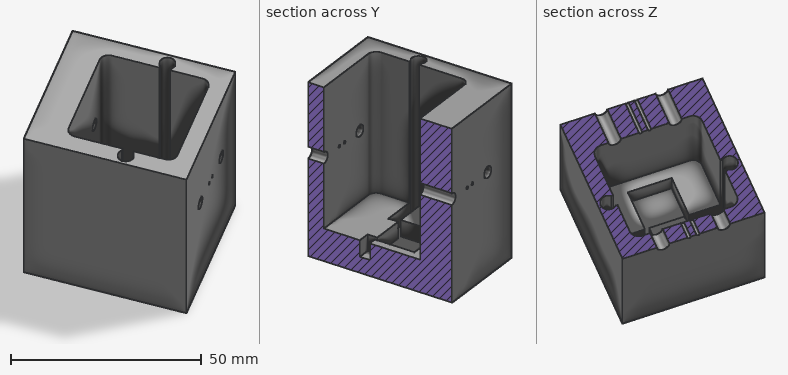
import cadquery as cq

LENGTH = 45.0
WIDTH = 40.0
HEIGHT = 52.5

POCKET_SIDE = 30.05
POCKET_CORNER_RADIUS = 2.5
FLOOR_THICKNESS = 10.0
POCKET_DEPTH = HEIGHT - FLOOR_THICKNESS
END_WALL = (WIDTH - POCKET_SIDE) / 2
POCKET_X = LENGTH / 2 - END_WALL - POCKET_SIDE / 2

SLOT_WIDTH = 3.05
SLOT_X = 4.7
SLOT_END_DIAMETER = 4.2
SLOT_END_Y = 17.05
SLOT_GAP = 10.0
RECESS_DEPTH = FLOOR_THICKNESS / 2
SLOT_FLOOR_Z = FLOOR_THICKNESS - RECESS_DEPTH

RECESS_WIDTH = 12.35
RECESS_LENGTH = 12.4
RECESS_END_X = SLOT_X - SLOT_WIDTH / 2

HOLE_Z = HEIGHT - POCKET_DEPTH / 2
LARGE_HOLE_DIAMETER = 3.4
LARGE_HOLE_SPACING = 17.05
SMALL_HOLE_DIAMETER = 0.8
SMALL_HOLE_SPACING = 2.5


def box_to_top(length, width, x, y, floor_z):
    """Box centred on (x, y), reaching from floor_z to the top of the block."""
    return (
        cq.Workplane("XY", origin=(x, y, floor_z))
        .rect(length, width)
        .extrude(HEIGHT - floor_z)
    )


def guide_slot(side):
    """Straight slot with a round outer end, on the side (+1 or -1) of the XZ plane."""
    inner_y = SLOT_GAP / 2
    straight = box_to_top(
        SLOT_WIDTH, SLOT_END_Y - inner_y, SLOT_X, side * (SLOT_END_Y + inner_y) / 2, SLOT_FLOOR_Z
    )
    round_end = (
        cq.Workplane("XY", origin=(SLOT_X, side * SLOT_END_Y, SLOT_FLOOR_Z))
        .circle(SLOT_END_DIAMETER / 2)
        .extrude(HEIGHT - SLOT_FLOOR_Z)
    )
    return straight.union(round_end)


def hole_pair(diameter, spacing):
    """Two cylinders along X, spread evenly about the XZ plane."""
    return (
        cq.Workplane("YZ", origin=(-LENGTH / 2, 0, HOLE_Z))
        .pushPoints([(-spacing / 2, 0), (spacing / 2, 0)])
        .circle(diameter / 2)
        .extrude(LENGTH)
    )


block = cq.Workplane("XY").box(LENGTH, WIDTH, HEIGHT, centered=(True, True, False))

pocket = (
    box_to_top(POCKET_SIDE, POCKET_SIDE, POCKET_X, 0, FLOOR_THICKNESS)
    .edges("|Z")
    .fillet(POCKET_CORNER_RADIUS)
)

floor_recess = box_to_top(
    RECESS_LENGTH, RECESS_WIDTH, RECESS_END_X - RECESS_LENGTH / 2, 0, SLOT_FLOOR_Z
)

result = block.cut(pocket).cut(floor_recess)
for side in (-1, 1):
    result = result.cut(guide_slot(side))
result = result.cut(hole_pair(LARGE_HOLE_DIAMETER, LARGE_HOLE_SPACING))
result = result.cut(hole_pair(SMALL_HOLE_DIAMETER, SMALL_HOLE_SPACING))